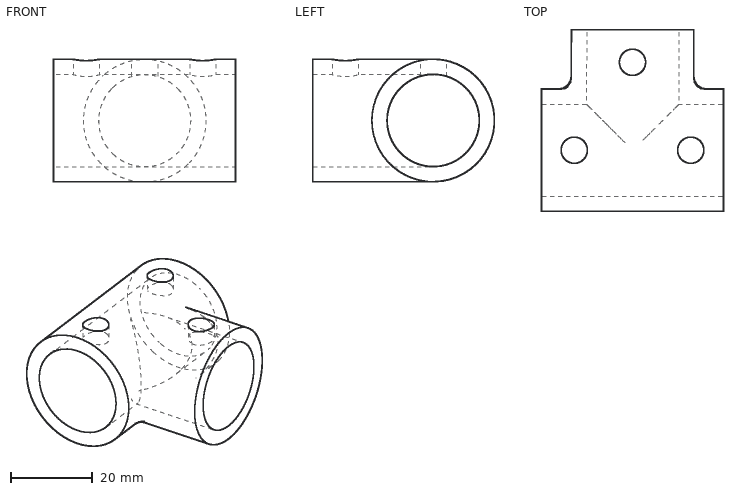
import cadquery as cq

run_length = 44.5
outer_diameter = 30.0
bore_diameter = 22.5
overall_depth = 44.5
saddle_fillet = 3.0
screw_hole_diameter = 6.4
hole_to_end = 8.0
crest_gap = 0.1

outer_radius = outer_diameter / 2
half_run = run_length / 2
crest_height = outer_radius - crest_gap
branch_length = overall_depth - outer_radius


def tee(diameter):
    """Run and branch cylinders of one diameter, joined at the origin."""
    run = cq.Workplane("YZ").circle(diameter / 2).extrude(half_run, both=True)
    branch = cq.Workplane("XZ").circle(diameter / 2).extrude(-branch_length)
    return run.union(branch)


def saddle_corners():
    """Tee with rounded saddles, kept just short of the crests where the saddle edges fade out."""
    slab = cq.Workplane("XY").box(2 * run_length, 2 * overall_depth, 2 * crest_height)
    corners = tee(outer_diameter).intersect(slab)
    return corners.edges("%ELLIPSE").fillet(saddle_fillet)


body = tee(outer_diameter).union(saddle_corners())

body = body.cut(tee(bore_diameter))

hole_x = half_run - hole_to_end
hole_y = branch_length - hole_to_end
screw_holes = (
    cq.Workplane("XY")
    .pushPoints([(-hole_x, 0), (hole_x, 0), (0, hole_y)])
    .circle(screw_hole_diameter / 2)
    .extrude(outer_diameter)
)

result = body.cut(screw_holes)